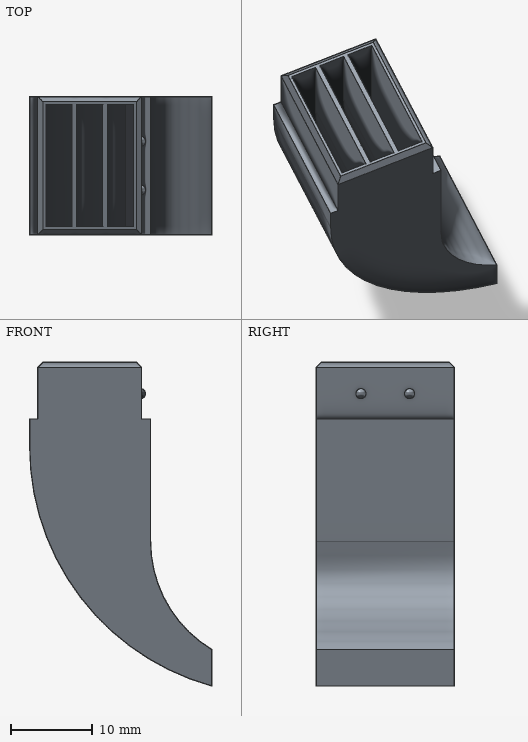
import cadquery as cq
import math

length = 22.4
width = 17.0
height = 39.8
body_thickness = 14.9

outer_curve_start_z = 29.4
inner_curve_start_z = 17.8
tip_height = 4.5

neck_height = 6.95
neck_inset = 1.0
neck_length = 12.78
neck_chamfer = 0.65

slot_count = 3
wall = 1.0
rib = 0.6
ramp_length = 1.0
ramp_slope = 6.0
slot_sweep = 34.0

bump_radius = 0.65
bump_sink = 0.15
bump_z = 35.95
bump_spacing = 5.97

shoulder_z = height - neck_height
neck_right = neck_inset + neck_length
slot_length = (neck_length - 2 * wall - (slot_count - 1) * rib) / slot_count


def tangent_radius(run, drop):
    """Radius of an arc that starts vertical and moves by run in X and drop in Z."""
    return (run**2 + drop**2) / (2 * run)


def arc_point(radius, start_x, start_z, run):
    """Point at distance run in X along an arc that starts vertical and bends to +X."""
    return (start_x + run, start_z - math.sqrt(radius**2 - (radius - run) ** 2))


outer_radius = tangent_radius(length, outer_curve_start_z)
inner_run = length - body_thickness
inner_radius = tangent_radius(inner_run, inner_curve_start_z - tip_height)


def make_claw():
    return (
        cq.Workplane("XZ", origin=(0, width / 2, 0))
        .moveTo(0, shoulder_z)
        .lineTo(0, outer_curve_start_z)
        .threePointArc(arc_point(outer_radius, 0, outer_curve_start_z, length / 2), (length, 0))
        .lineTo(length, tip_height)
        .threePointArc(
            arc_point(inner_radius, body_thickness, inner_curve_start_z, inner_run / 2),
            (body_thickness, inner_curve_start_z),
        )
        .lineTo(body_thickness, shoulder_z)
        .close()
        .extrude(width)
    )


def make_neck():
    return (
        cq.Workplane("XY", origin=(neck_inset, 0, shoulder_z))
        .rect(neck_length, width)
        .extrude(neck_height)
        .translate((neck_length / 2, 0, 0))
        .faces(">Z")
        .edges()
        .chamfer(neck_chamfer)
    )


def slot_profile(left):
    """Start of a slot outline: down its -X wall to the start of the curve."""
    return (
        cq.Workplane("XZ", origin=(0, width / 2 - wall, 0))
        .moveTo(left, height)
        .lineTo(left, outer_curve_start_z)
    )


def close_slot(profile, right):
    """Finish a slot outline along its straight +X wall and extrude it between the side walls."""
    return profile.lineTo(right, height).close().extrude(width - 2 * wall)


def make_curved_slot(left):
    """Slot that bends with the claw between two walls concentric with the outer curve."""
    right = left + slot_length

    def wall_point(wall_x, angle):
        radius = outer_radius - wall_x
        turn = math.radians(angle)
        return (outer_radius - radius * math.cos(turn), outer_curve_start_z - radius * math.sin(turn))

    profile = (
        slot_profile(left)
        .threePointArc(wall_point(left, slot_sweep / 2), wall_point(left, slot_sweep))
        .lineTo(*wall_point(right, slot_sweep))
        .threePointArc(wall_point(right, slot_sweep / 2), (right, outer_curve_start_z))
    )
    return close_slot(profile, right)


def make_ramp_slot(left):
    """Slot with a straight +X wall, whose curved wall ends on a short ramp."""
    radius = outer_radius - left
    right = left + slot_length
    run = slot_length - ramp_length
    curve_end = arc_point(radius, left, outer_curve_start_z, run)
    ramp_drop = ramp_length * math.tan(math.radians(ramp_slope))
    profile = (
        slot_profile(left)
        .threePointArc(arc_point(radius, left, outer_curve_start_z, run / 2), curve_end)
        .lineTo(right, curve_end[1] - ramp_drop)
    )
    return close_slot(profile, right)


def make_bump(y):
    """Ball sunk in the neck, turned about an axis along X."""
    center_x = neck_right - bump_sink
    return (
        cq.Workplane("XY", origin=(center_x, y, bump_z))
        .moveTo(-bump_radius, 0)
        .threePointArc((0, bump_radius), (bump_radius, 0))
        .close()
        .revolve(360, (0, 0), (1, 0))
    )


result = make_claw().union(make_neck())

for index in range(slot_count):
    slot_left = neck_inset + wall + index * (slot_length + rib)
    if index < slot_count - 1:
        result = result.cut(make_curved_slot(slot_left))
    else:
        result = result.cut(make_ramp_slot(slot_left))

for side in (-1, 1):
    result = result.union(make_bump(side * bump_spacing / 2))